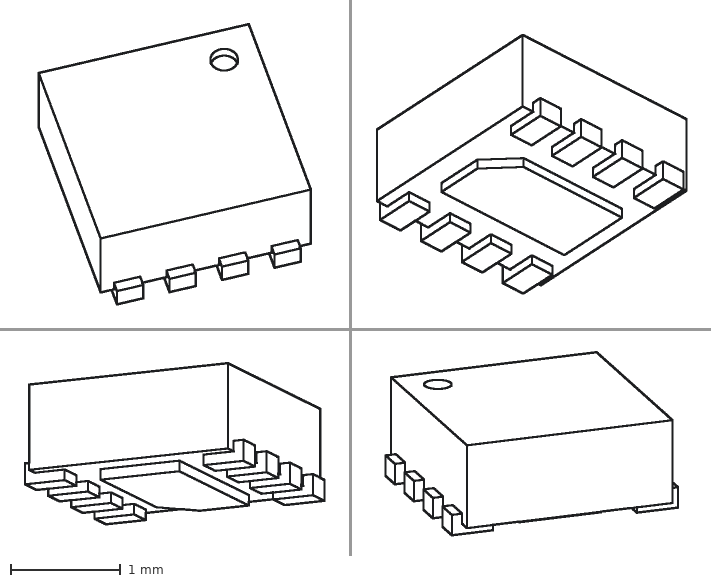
import cadquery as cq

span_x = 2.2
housing_side = 2.0
total_height = 0.9
metal_thickness = 0.1
housing_height = total_height - metal_thickness

marker_diameter = 0.25
marker_depth = 0.1
marker_inset = housing_side / 6
marker_x = marker_inset - housing_side / 2
marker_y = -marker_x

leads_per_side = 4
lead_pitch = 0.5
lead_width = 0.25
lead_height = 2 * metal_thickness
foot_length = 0.4

pad_length_x = 0.792
pad_length_y = 1.5
pad_chamfer = 0.3


def make_housing():
    """Square block standing on the leads and the pad, with the marker recess."""
    block = (
        cq.Workplane("XY", origin=(0, 0, metal_thickness))
        .rect(housing_side, housing_side)
        .extrude(housing_height)
    )
    marker = (
        cq.Workplane("XY", origin=(marker_x, marker_y, total_height))
        .circle(marker_diameter / 2)
        .extrude(-marker_depth)
    )
    return block.cut(marker)


def make_lead(side, center_y):
    """L-shaped lead: a foot under the housing and an upright against its side.

    side is -1 for the -X row and +1 for the +X row.
    """
    outer_x = side * span_x / 2
    wall_x = side * housing_side / 2
    inner_x = side * (span_x / 2 - foot_length)
    profile = [
        (outer_x, 0),
        (outer_x, lead_height),
        (wall_x, lead_height),
        (wall_x, metal_thickness),
        (inner_x, metal_thickness),
        (inner_x, 0),
    ]
    return (
        cq.Workplane("XZ", origin=(0, center_y, 0))
        .polyline(profile)
        .close()
        .extrude(lead_width / 2, both=True)
    )


def make_pad():
    """Flat pad with the corner nearest pin one cut off."""
    half_x = pad_length_x / 2
    half_y = pad_length_y / 2
    outline = [
        (-half_x, -half_y),
        (half_x, -half_y),
        (half_x, half_y),
        (-half_x + pad_chamfer, half_y),
        (-half_x, half_y - pad_chamfer),
    ]
    return cq.Workplane("XY").polyline(outline).close().extrude(metal_thickness)


housing = make_housing()
pad = make_pad()

leads = []
for side in (-1, 1):
    for index in range(leads_per_side):
        center_y = (index - (leads_per_side - 1) / 2) * lead_pitch
        leads.append(make_lead(side, center_y).val())

result = cq.Compound.makeCompound([housing.val(), pad.val(), *leads])